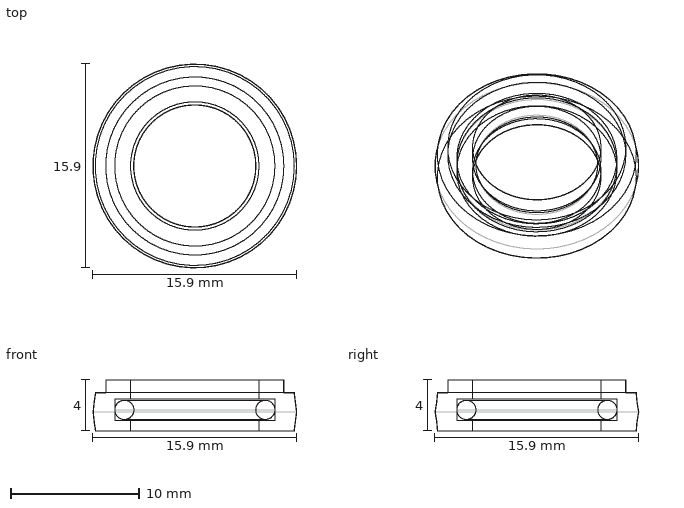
import cadquery as cq

crown_radius = 7.95
crown_drop = 0.19
band_height = 3.0
total_height = 4.0
collar_radius = 6.95
bore_radius = 5.01

ring_inner_radius = 4.75
ring_section_radius = 0.75
ring_centre_radius = ring_inner_radius + ring_section_radius

groove_bottom = 0.83
groove_top = 2.5
groove_mid_height = (groove_bottom + groove_top) / 2
groove_radius = ring_centre_radius + ring_section_radius

AXIS_START = (0, 0)
AXIS_END = (0, 1)
FULL_TURN = 360


def make_housing():
    """Revolve the housing section, including its internal ring groove, about Z."""
    edge_radius = crown_radius - crown_drop
    section = [
        (bore_radius, 0),
        (edge_radius, 0),
        (crown_radius, band_height / 2),
        (edge_radius, band_height),
        (collar_radius, band_height),
        (collar_radius, total_height),
        (bore_radius, total_height),
        (bore_radius, groove_top),
        (groove_radius, groove_top),
        (groove_radius, groove_bottom),
        (bore_radius, groove_bottom),
    ]
    return cq.Workplane("XZ").polyline(section).close().revolve(FULL_TURN, AXIS_START, AXIS_END)


def make_sealing_ring():
    """Revolve a round section about Z, with its arcs meeting on the inner and outer equators."""
    inner_point = (ring_inner_radius, groove_mid_height)
    outer_point = (groove_radius, groove_mid_height)
    top_point = (ring_centre_radius, groove_mid_height + ring_section_radius)
    bottom_point = (ring_centre_radius, groove_mid_height - ring_section_radius)
    return (
        cq.Workplane("XZ")
        .moveTo(*inner_point)
        .threePointArc(top_point, outer_point)
        .threePointArc(bottom_point, inner_point)
        .close()
        .revolve(FULL_TURN, AXIS_START, AXIS_END, clean=False)
    )


housing = make_housing()
sealing_ring = make_sealing_ring()

result = cq.Compound.makeCompound([housing.val(), sealing_ring.val()])